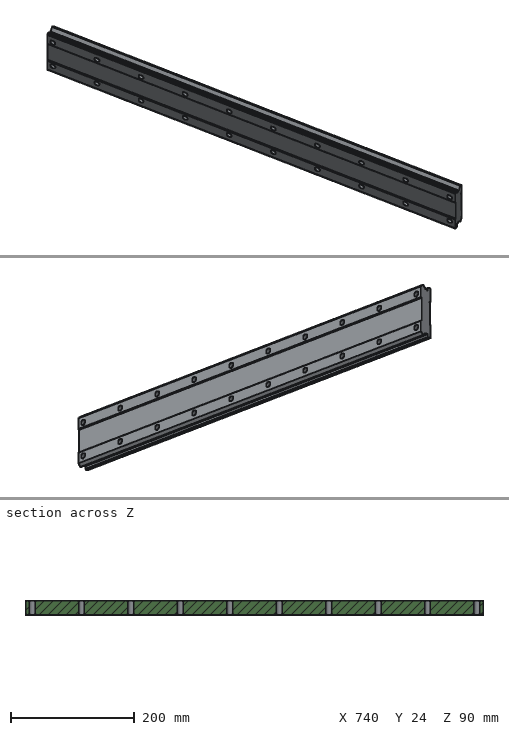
import cadquery as cq

length = 740.0
width = 24.0
height = 90.0
half_width = width / 2
half_height = height / 2

relief_depth = 1.5
relief_half_height = 20.0
relief_slope_height = 1.5

ridge_flat = 1.1
ridge_outer_bevel = 4.8
groove_depth = 5.55

lip_width = 7.0
lip_bevel_run = 2.0
lip_bevel_drop = 1.1

hole_diameter = 9.0
holes_per_row = 10
hole_pitch = 80.0
hole_row_spacing = 60.0


def upper_outline():
    """Upper half of the cross-section as (y, z) points, from the +Y side to the -Y side."""
    relief_y = half_width - relief_depth
    relief_top = relief_half_height + relief_slope_height
    ridge_start = half_width - ridge_outer_bevel
    ridge_end = ridge_start - ridge_flat
    groove_floor = half_height - groove_depth
    lip_inner = lip_width - half_width
    lip_shoulder = half_height - lip_bevel_drop
    return [
        (relief_y, relief_half_height),
        (half_width, relief_top),
        (half_width, half_height - ridge_outer_bevel),
        (ridge_start, half_height),
        (ridge_end, half_height),
        (ridge_end - groove_depth, groove_floor),
        (lip_inner, groove_floor),
        (lip_inner, lip_shoulder),
        (lip_inner - lip_bevel_run, half_height),
        (lip_bevel_run - half_width, half_height),
        (-half_width, lip_shoulder),
        (-half_width, relief_top),
        (-relief_y, relief_half_height),
    ]


def rail_body():
    """Cross-section mirrored about mid-height and extruded along X."""
    upper = upper_outline()
    lower = [(y, -z) for y, z in reversed(upper)]
    profile = cq.Workplane("YZ").polyline(upper + lower).close()
    return profile.extrude(length / 2, both=True)


def mounting_holes():
    """Cylinders crossing the full thickness, in two rows centred on the rail."""
    return (
        cq.Workplane("XZ")
        .rarray(hole_pitch, hole_row_spacing, holes_per_row, 2)
        .circle(hole_diameter / 2)
        .extrude(width, both=True)
    )


result = rail_body().cut(mounting_holes())